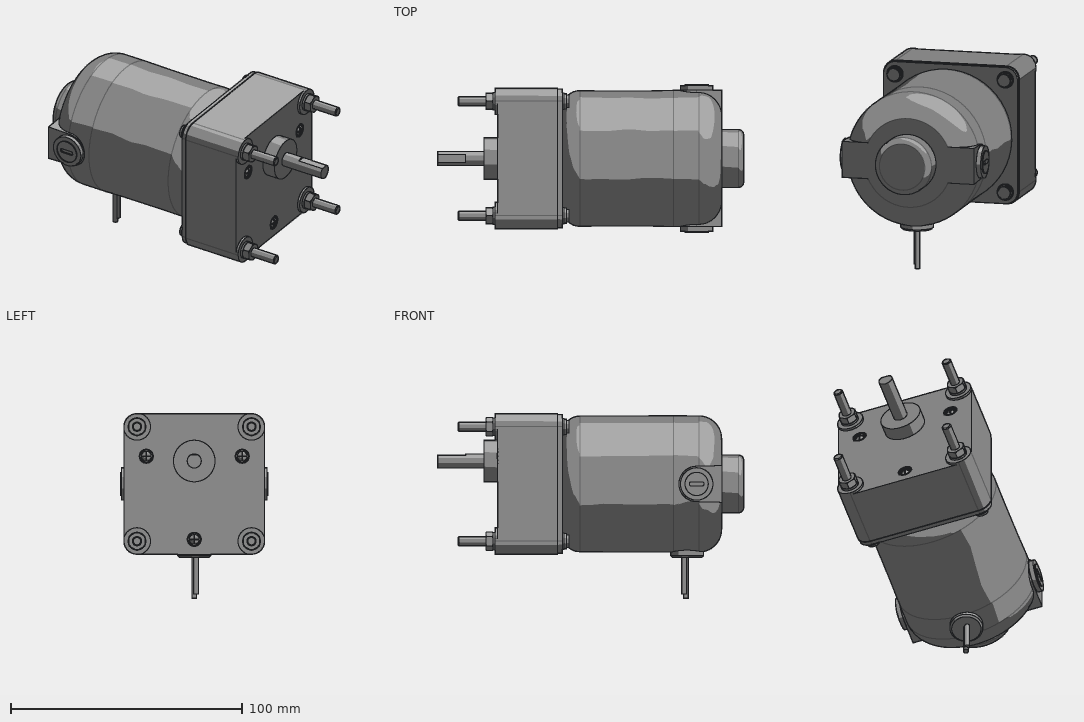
import cadquery as cq
import math

OVERLAP = 0.7

SHAFT_FLAT_END = 12.0
BUSHING_START = 20.0
PAD_START = 24.9
GEARBOX_START = 26.0
GEARBOX_END = 52.0
FLANGE_END = 53.9
MOTOR_END = 123.0
OVERALL_LENGTH = 132.5

OVERALL_WIDTH = 64.0

GEARBOX_SIDE = 61.0
FLANGE_INSET = 0.4
BOLT_OFFSET = 24.8
CORNER_RADIUS = GEARBOX_SIDE / 2 - BOLT_OFFSET
PAD_RADIUS = 5.8
BOLT_CENTERS = [(y * BOLT_OFFSET, z * BOLT_OFFSET) for y in (-1, 1) for z in (-1, 1)]

SHAFT_HEIGHT = 10.0
SHAFT_RADIUS = 3.0
SHAFT_FLAT_DEPTH = 0.5
BUSHING_RADIUS = 9.0

ROD_START = 8.9
ROD_RADIUS = 2.0
ROD_CHAMFER = 0.4
NUT_START = 20.8
NUT_END = 24.0
NUT_FLATS = 7.0
NUT_CHAMFER = 0.4
NUT_WASHER_RADIUS = 3.8
PLAIN_WASHER_RADIUS = 3.6
PLAIN_WASHER_END = 54.7
SPRING_WASHER_RADIUS = 3.3
SPRING_WASHER_END = 55.6
BOLT_HEAD_RADIUS = 2.8
BOLT_HEAD_END = 56.8

SCREW_COUNT = 3
SCREW_CIRCLE_RADIUS = 24.0
SCREW_POCKET_RADIUS = 3.0
SCREW_POCKET_DEPTH = 1.3
SCREW_HEAD_RADIUS = 2.6
SCREW_HEAD_SINK = 0.3
SCREW_DOME_RADIUS = 2.1
SCREW_DOME_RISE = 0.7
CROSS_LENGTH = 3.2
CROSS_WIDTH = 0.4
CROSS_DEPTH = 0.8

MOTOR_RADIUS = 29.5
MOTOR_FRONT_RADIUS = 29.4
MOTOR_TAPER_END = 102.2
MOTOR_FRONT_FILLET = 7.7
MOTOR_REAR_FILLET = 10.0
BOSS_RADIUS = 12.6
BOSS_FILLET = 2.4

BRUSH_X = 112.1
BRUSH_BLOCK_RADIUS = 7.7
BRUSH_BLOCK_REAR_HALF = 8.0
BRUSH_BLOCK_INNER_Y = 11.9
CAP_RADIUS = 7.0
CAP_RISE = 2.0
CAP_DISC_RADIUS = 5.0
CAP_DISC_Y = OVERALL_WIDTH / 2
CAP_SLOT_LENGTH = 6.4
CAP_SLOT_WIDTH = 1.9
CAP_SLOT_DEPTH = 0.8

GROMMET_X = 108.0
GROMMET_RADIUS = 7.2
GROMMET_CHAMFER = 0.8
GROMMET_BOTTOM = -31.8
GROMMET_TOP = -25.2
WIRE_RADIUS = 1.0
LONG_WIRE = (107.5, 0.0, -49.5)
SHORT_WIRE = (106.7, -0.8, -47.7)


def rod(x_start, x_end, radius, y=0.0, z=0.0):
    """Cylinder parallel to X."""
    direction = cq.Vector(1, 0, 0)
    return cq.Workplane(cq.Solid.makeCylinder(radius, x_end - x_start, cq.Vector(x_start, y, z), direction))


def plate(x_start, x_end, side, corner_radius):
    """Square block around the X axis with rounded corners."""
    block = cq.Workplane("YZ").workplane(offset=x_start).rect(side, side).extrude(x_end - x_start)
    return block.edges("|X").fillet(corner_radius)


def gearbox():
    """Gearbox block with raised corner pads in front and a slightly smaller flange behind."""
    body = plate(GEARBOX_START, GEARBOX_END, GEARBOX_SIDE, CORNER_RADIUS)
    pad_layer = plate(PAD_START, GEARBOX_START, GEARBOX_SIDE, CORNER_RADIUS)
    for y, z in BOLT_CENTERS:
        pad = rod(PAD_START, GEARBOX_START, PAD_RADIUS, y, z)
        body = body.union(pad_layer.intersect(pad))
    flange_side = GEARBOX_SIDE - 2 * FLANGE_INSET
    flange = plate(GEARBOX_END - OVERLAP, FLANGE_END, flange_side, CORNER_RADIUS - FLANGE_INSET)
    return body.union(flange)


def output_shaft():
    bushing = rod(BUSHING_START, GEARBOX_START + OVERLAP, BUSHING_RADIUS, z=SHAFT_HEIGHT)
    shaft = rod(0, BUSHING_START + OVERLAP, SHAFT_RADIUS, z=SHAFT_HEIGHT)
    flat_z = SHAFT_HEIGHT + SHAFT_RADIUS - SHAFT_FLAT_DEPTH
    flat_cut = cq.Workplane("XY").box(
        SHAFT_FLAT_END, 2 * SHAFT_RADIUS, 2 * SHAFT_FLAT_DEPTH, centered=(False, True, False)
    )
    return bushing.union(shaft.cut(flat_cut.translate((0, 0, flat_z))))


def tie_bolt(y, z):
    """Nut, washers, threaded end and bolt head on one axis through the gearbox."""
    bolt = rod(ROD_START, BOLT_HEAD_END, ROD_RADIUS, y, z).faces("<X").chamfer(ROD_CHAMFER)
    nut_corners = NUT_FLATS / math.cos(math.pi / 6)
    nut = cq.Workplane("YZ").polygon(6, nut_corners).extrude(NUT_END - NUT_START)
    nut = nut.rotate((0, 0, 0), (1, 0, 0), 90).translate((NUT_START, y, z))
    nut_blank = rod(NUT_START, NUT_END, nut_corners / 2, y, z)
    nut = nut.intersect(nut_blank.edges().chamfer(NUT_CHAMFER))
    nut_washer = rod(NUT_END, PAD_START + OVERLAP, NUT_WASHER_RADIUS, y, z)
    plain_washer = rod(FLANGE_END - OVERLAP, PLAIN_WASHER_END, PLAIN_WASHER_RADIUS, y, z)
    spring_washer = rod(FLANGE_END, SPRING_WASHER_END, SPRING_WASHER_RADIUS, y, z)
    head = rod(FLANGE_END, BOLT_HEAD_END, BOLT_HEAD_RADIUS, y, z)
    for piece in (nut, nut_washer, plain_washer, spring_washer, head):
        bolt = bolt.union(piece)
    return bolt


def screw_pocket(y, z):
    return rod(GEARBOX_START, GEARBOX_START + SCREW_POCKET_DEPTH, SCREW_POCKET_RADIUS, y, z)


def cover_screw(y, z):
    """Domed cross-recessed screw head that stands slightly out of its pocket."""
    rim = GEARBOX_START + SCREW_HEAD_SINK
    tip = rim - SCREW_DOME_RISE
    bottom = GEARBOX_START + SCREW_POCKET_DEPTH + OVERLAP
    ball_radius = (SCREW_DOME_RADIUS**2 + SCREW_DOME_RISE**2) / (2 * SCREW_DOME_RISE)
    ball = cq.Workplane("XY").sphere(ball_radius).translate((tip + ball_radius, y, z))
    dome = rod(tip, bottom, SCREW_DOME_RADIUS, y, z).intersect(ball)
    head = rod(rim, bottom, SCREW_HEAD_RADIUS, y, z).union(dome)
    for width, height in ((CROSS_LENGTH, CROSS_WIDTH), (CROSS_WIDTH, CROSS_LENGTH)):
        groove = cq.Workplane("XY").box(2 * CROSS_DEPTH, width, height)
        head = head.cut(groove.translate((tip, y, z)))
    return head


def motor():
    """Slightly tapered housing with rounded ends and a rear bearing boss."""
    taper_length = MOTOR_TAPER_END - FLANGE_END
    start = cq.Vector(FLANGE_END, 0, 0)
    direction = cq.Vector(1, 0, 0)
    taper = cq.Solid.makeCone(MOTOR_FRONT_RADIUS, MOTOR_RADIUS, taper_length, start, direction)
    front = cq.Workplane(taper).faces("<X").edges().fillet(MOTOR_FRONT_FILLET)
    rear = rod(MOTOR_TAPER_END, MOTOR_END, MOTOR_RADIUS).faces(">X").edges().fillet(MOTOR_REAR_FILLET)
    boss = rod(MOTOR_END - OVERLAP, OVERALL_LENGTH, BOSS_RADIUS).faces(">X").edges().fillet(BOSS_FILLET)
    return front.union(rear).union(boss)


def brush_holder():
    """Brush block with its slotted screw cap on the -Y side."""
    block = (
        cq.Workplane("XZ")
        .moveTo(BRUSH_X, BRUSH_BLOCK_RADIUS)
        .lineTo(MOTOR_END, BRUSH_BLOCK_REAR_HALF)
        .lineTo(MOTOR_END, -BRUSH_BLOCK_REAR_HALF)
        .lineTo(BRUSH_X, -BRUSH_BLOCK_RADIUS)
        .threePointArc((BRUSH_X - BRUSH_BLOCK_RADIUS, 0), (BRUSH_X, BRUSH_BLOCK_RADIUS))
        .close()
        .extrude(MOTOR_RADIUS - BRUSH_BLOCK_INNER_Y)
        .translate((0, -BRUSH_BLOCK_INNER_Y, 0))
    )
    seat = cq.Workplane("XZ", origin=(BRUSH_X, 0, 0)).workplane(offset=MOTOR_RADIUS - OVERLAP)
    cap = seat.circle(CAP_RADIUS).extrude(OVERLAP + CAP_RISE)
    disc = seat.circle(CAP_DISC_RADIUS).extrude(CAP_DISC_Y - MOTOR_RADIUS + OVERLAP)
    slot_plane = cq.Workplane("XZ", origin=(BRUSH_X, -CAP_DISC_Y, 0))
    slot = slot_plane.slot2D(CAP_SLOT_LENGTH, CAP_SLOT_WIDTH).extrude(-CAP_SLOT_DEPTH)
    return block.union(cap).union(disc).cut(slot)


def grommet():
    ring = cq.Workplane("XY", origin=(GROMMET_X, 0, GROMMET_BOTTOM))
    ring = ring.circle(GROMMET_RADIUS).extrude(GROMMET_TOP - GROMMET_BOTTOM)
    return ring.faces("<Z").edges().chamfer(GROMMET_CHAMFER)


def wire(x, y, bottom):
    lead = cq.Workplane("XY", origin=(x, y, bottom))
    return lead.circle(WIRE_RADIUS).extrude(GROMMET_BOTTOM + OVERLAP - bottom)


result = gearbox().union(output_shaft()).union(motor())

for bolt_y, bolt_z in BOLT_CENTERS:
    result = result.union(tie_bolt(bolt_y, bolt_z))

for index in range(SCREW_COUNT):
    angle = 2 * math.pi * index / SCREW_COUNT - math.pi / 2
    screw_y = SCREW_CIRCLE_RADIUS * math.cos(angle)
    screw_z = SCREW_CIRCLE_RADIUS * math.sin(angle)
    result = result.cut(screw_pocket(screw_y, screw_z)).union(cover_screw(screw_y, screw_z))

near_brush = brush_holder()
result = result.union(near_brush).union(near_brush.mirror("XZ"))

result = result.union(grommet()).union(wire(*LONG_WIRE)).union(wire(*SHORT_WIRE))